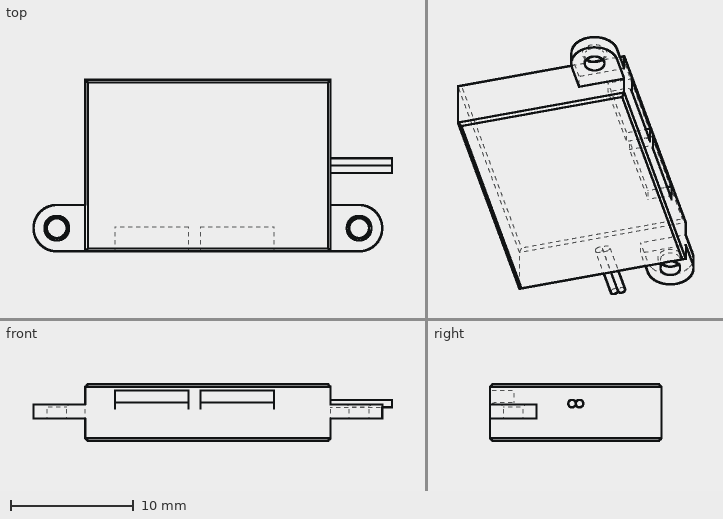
import cadquery as cq

HOUSING_LENGTH = 20.0
HOUSING_WIDTH = 14.0
HOUSING_HEIGHT = 4.6
HOUSING_CHAMFER = 0.23

EAR_REACH = 4.2
EAR_WIDTH = 3.8
EAR_THICKNESS = 1.17
EAR_BOTTOM = 1.8
EAR_HOLE_DIAMETER = 1.6
EAR_HOLE_CHAMFER = 0.2

SLOT_LENGTH = 6.0
SLOT_GAP = 0.95
SLOT_START = 2.45
SLOT_BOTTOM = 2.63
SLOT_HEIGHT = 1.5
SLOT_DEPTH = 2.0
LIP_RADIUS = 0.5

WIRE_DIAMETER = 0.6
WIRE_HEIGHT = 3.05
OVERALL_LENGTH = 29.2
WIRE_LENGTH = OVERALL_LENGTH - HOUSING_LENGTH - EAR_REACH

END_X = HOUSING_LENGTH / 2
FRONT_Y = -HOUSING_WIDTH / 2


def make_case():
    """Block with chamfered top and bottom rims and sharp vertical edges."""
    block = cq.Workplane("XY").box(
        HOUSING_LENGTH, HOUSING_WIDTH, HOUSING_HEIGHT, centered=(True, True, False)
    )
    return block.faces("<Z or >Z").chamfer(HOUSING_CHAMFER)


def make_ear(side):
    """Round-ended ear on one end; side is -1 for left and +1 for right."""
    radius = EAR_WIDTH / 2
    root_x = side * END_X
    centre_x = side * (END_X + EAR_REACH - radius)
    tip_x = side * (END_X + EAR_REACH)
    back_y = FRONT_Y + EAR_WIDTH
    centre_y = FRONT_Y + radius
    top = EAR_BOTTOM + EAR_THICKNESS
    ear = (
        cq.Workplane("XY", origin=(0, 0, EAR_BOTTOM))
        .moveTo(root_x, FRONT_Y)
        .lineTo(centre_x, FRONT_Y)
        .threePointArc((tip_x, centre_y), (centre_x, back_y))
        .lineTo(root_x, back_y)
        .close()
        .extrude(EAR_THICKNESS)
    )
    countersink_diameter = EAR_HOLE_DIAMETER + 2 * EAR_HOLE_CHAMFER
    return (
        ear.cut(
            cq.Workplane("XY", origin=(centre_x, centre_y, top))
            .circle(EAR_HOLE_DIAMETER / 2)
            .extrude(-EAR_THICKNESS)
        )
        .cut(
            cq.Workplane("XY", origin=(centre_x, centre_y, top))
            .circle(countersink_diameter / 2)
            .extrude(-EAR_HOLE_CHAMFER, taper=45)
        )
    )


def make_slot(start_x):
    """Space cut from the front wall, its floor rounding over to the wall."""
    floor = SLOT_BOTTOM + LIP_RADIUS
    top = SLOT_BOTTOM + SLOT_HEIGHT
    back_y = FRONT_Y + SLOT_DEPTH
    return (
        cq.Workplane("YZ", origin=(start_x, 0, 0))
        .moveTo(FRONT_Y, SLOT_BOTTOM)
        .radiusArc((FRONT_Y + LIP_RADIUS, floor), LIP_RADIUS)
        .lineTo(back_y, floor)
        .lineTo(back_y, top)
        .lineTo(FRONT_Y, top)
        .close()
        .extrude(SLOT_LENGTH)
    )


def make_housing():
    housing = make_case()
    for side in (-1, 1):
        housing = housing.union(make_ear(side))
    for index in range(2):
        start_x = -END_X + SLOT_START + index * (SLOT_LENGTH + SLOT_GAP)
        housing = housing.cut(make_slot(start_x))
    return housing


def make_wire(centre_y):
    """Straight round wire starting at the right end wall."""
    return (
        cq.Workplane("YZ", origin=(END_X, centre_y, WIRE_HEIGHT))
        .circle(WIRE_DIAMETER / 2)
        .extrude(WIRE_LENGTH)
    )


housing = make_housing()

wires = []
for side in (-1, 1):
    wire = make_wire(side * WIRE_DIAMETER / 2)
    wires.append(wire.val())

result = cq.Compound.makeCompound([housing.solids().val(), *wires])